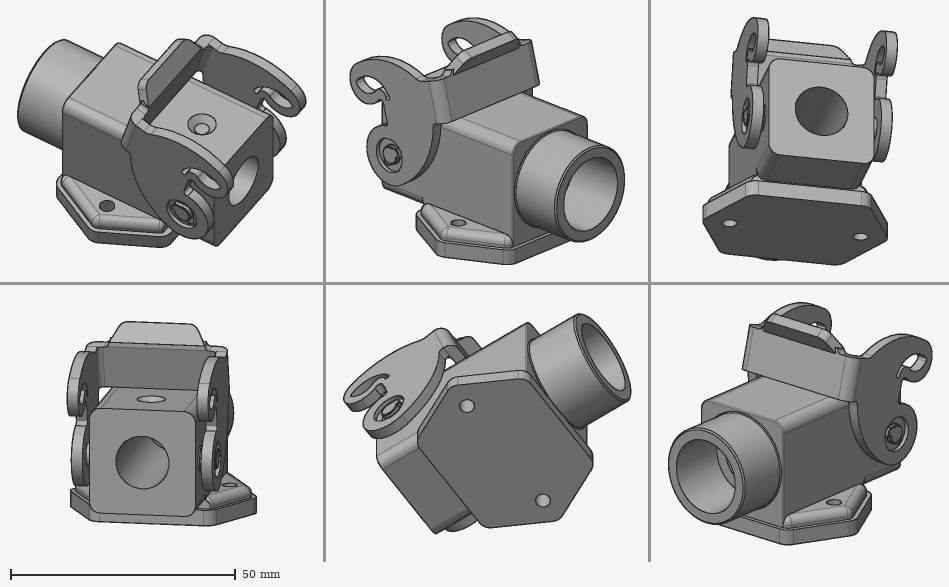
import cadquery as cq
import math

housing_left = -14.0
housing_right = 26.54
housing_width = 24.0
housing_top = 28.6
roof_edge_radius = 2.6
left_face_edge_radius = 0.25
column_right = 13.5
overhang_wall_right = 14.0
overhang_wall_bottom = 5.8
overhang_bottom = 4.64
overhang_edge_radius = 2.43

axis_height = 16.58
spigot_end = -26.54
spigot_radius = 11.23
spigot_end_chamfer = 0.35
spigot_root_width = 0.25
entry_bore_radius = 8.6
entry_bore_depth = 14.0
through_bore_radius = 6.0

screw_x = 15.47
countersink_radius = 3.17
countersink_floor_radius = 1.65

flange_half_length = 15.0
flange_apex_half_width = 21.38
flange_slope = math.radians(27.4)
flange_corner_radius = 3.0
flange_thickness = 3.57
pad_inset = 1.05
pad_corner_radius = 2.0
pad_edge_radius = 1.95
pad_top = 6.18
mounting_hole_y = 14.97
mounting_hole_radius = 1.67

sheet_thickness = 2.5
lever_half_width = 15.95
arm_inner_y = lever_half_width - sheet_thickness
cross_plate_foot = (5.74, 28.79)
cross_plate_tilt = math.radians(15)
cross_plate_length = 10.0
cross_plate_top = (
    cross_plate_foot[0] + cross_plate_length * math.sin(cross_plate_tilt),
    cross_plate_foot[1] + cross_plate_length * math.cos(cross_plate_tilt),
)
bend_outer_radius = 2.47
bend_inner_radius = 1.2

tab_tilt = math.radians(30)
tab_root = (8.36, 39.6)
tab_length = 5.01
tab_root_half_width = 10.85
tab_flare_radius = 1.1
tab_end_half_width = 8.3
tab_corner_radius = 2.4

pivot_x = 20.5
pivot_radius = 2.58
pivot_collar_radius = 2.95
pivot_collar_height = 0.35
arm_pivot_end_radius = 7.0
arm_recess_radius = 4.0
arm_recess_depth = 1.0
pin_head_radius = 2.1
pin_head_chamfer = 0.2
key_radius = 2.9
clearance_radius = 2.3
clearance_lobe_offset = (1.5, -2.05)
clearance_lobe_radius = 1.1
clearance_depth = 0.1


def hexagon(inset):
    """Elongated hexagon with apexes on the Y axis, moved inwards by inset."""
    half_length = flange_half_length - inset
    apex = flange_apex_half_width - inset / math.cos(flange_slope)
    shoulder = apex - half_length * math.tan(flange_slope)
    return [
        (half_length, -shoulder),
        (half_length, shoulder),
        (0, apex),
        (-half_length, shoulder),
        (-half_length, -shoulder),
        (0, -apex),
    ]


def box_between(x0, x1, width, z0, z1):
    """Box centred on Y = 0."""
    start = cq.Workplane("XY", origin=(x0, 0, z0))
    return start.box(x1 - x0, width, z1 - z0, centered=(False, True, False))


def cylinder_x(x0, x1, radius):
    """Cylinder along X on the cable axis."""
    return cq.Workplane("YZ", origin=(x0, 0, axis_height)).circle(radius).extrude(x1 - x0)


def make_flange():
    plate = cq.Workplane("XY").polyline(hexagon(0)).close().extrude(flange_thickness)
    plate = plate.edges("|Z").fillet(flange_corner_radius)
    pad = cq.Workplane("XY").polyline(hexagon(pad_inset)).close().extrude(pad_top)
    pad = pad.edges("|Z").fillet(pad_corner_radius)
    pad = pad.faces(">Z").edges().fillet(pad_edge_radius)
    pad = pad.intersect(box_between(housing_left, column_right, 2 * flange_apex_half_width, 0, pad_top))
    return plate.union(pad)


def make_housing():
    upper = box_between(housing_left, housing_right, housing_width, overhang_bottom, housing_top)
    upper = upper.edges("|X and >Z").fillet(roof_edge_radius)
    upper = upper.edges("|X and <Z").fillet(overhang_edge_radius)
    column_top = overhang_bottom + overhang_edge_radius
    column = box_between(housing_left, column_right, housing_width, 0, column_top)
    wall_stub = box_between(column_right, overhang_wall_right, housing_width, overhang_wall_bottom, column_top)
    body = upper.union(column).union(wall_stub)
    return body.faces("<X").edges("not <Z").fillet(left_face_edge_radius)


def add_spigot(body):
    spigot = cylinder_x(spigot_end, housing_left, spigot_radius)
    spigot = spigot.faces("<X").edges().chamfer(spigot_end_chamfer)
    root = cq.Solid.makeCone(
        spigot_radius,
        spigot_radius + spigot_root_width,
        spigot_root_width,
        pnt=cq.Vector(housing_left - spigot_root_width, 0, axis_height),
        dir=cq.Vector(1, 0, 0),
    )
    return body.union(spigot).union(root)


def cut_bores(body):
    entry = cylinder_x(spigot_end, spigot_end + entry_bore_depth, entry_bore_radius)
    through = cylinder_x(spigot_end, housing_right, through_bore_radius)
    depth = countersink_radius - countersink_floor_radius
    countersink = cq.Solid.makeCone(
        countersink_floor_radius,
        countersink_radius,
        depth,
        pnt=cq.Vector(screw_x, 0, housing_top - depth),
    )
    mounting_holes = (
        cq.Workplane("XY")
        .pushPoints([(0, mounting_hole_y), (0, -mounting_hole_y)])
        .circle(mounting_hole_radius)
        .extrude(pad_top)
    )
    return body.cut(entry).cut(through).cut(countersink).cut(mounting_holes)


def arm_outline(plane):
    """Side profile of a lever arm: pivot eye, curved back and hooked finger grip."""
    return (
        plane.moveTo(*cross_plate_top)
        .lineTo(10.5, 37.75)
        .threePointArc((11.3, 37.65), (12.2, 37.85))
        .threePointArc((19.7, 39.37), (30.4, 36.1))
        .threePointArc((32.72, 32.0), (28.0, 27.0))
        .threePointArc((26.2, 27.35), (24.2, 28.5))
        .threePointArc((23.1, 29.25), (22.2, 28.4))
        .lineTo(21.1, 24.5)
        .threePointArc((21.2, 23.8), (22.1, 23.4))
        .threePointArc((pivot_x + arm_pivot_end_radius, axis_height), (17.0, 10.4))
        .threePointArc((10.3, 16.6), (6.88, 27.55))
        .threePointArc((6.55, 28.5), cross_plate_foot)
        .close()
    )


def finger_slot(plane):
    """Comma-shaped opening that leaves the hooked spring finger."""
    return (
        plane.moveTo(20.5, 30.75)
        .threePointArc((26.0, 33.95), (30.7, 31.7))
        .threePointArc((30.8, 31.4), (30.6, 31.0))
        .threePointArc((27.8, 29.6), (24.8, 31.1))
        .threePointArc((23.3, 31.8), (21.6, 30.5))
        .threePointArc((20.9, 29.95), (20.5, 30.75))
        .close()
    )


def polar(radius, angle):
    """Point at the given radius and angle from the sketch origin."""
    return (radius * math.cos(angle), radius * math.sin(angle))


def pivot_plane(y):
    """Sketch plane on the pivot axis at the given Y; extrusions run towards -Y."""
    return cq.Workplane("XZ", origin=(pivot_x, y, axis_height))


def clearance_lobe(y):
    """Teardrop around the pin head: two circles joined by their outer tangents."""
    lobe_x, lobe_z = clearance_lobe_offset
    direction = math.atan2(lobe_z, lobe_x)
    spread = math.acos((clearance_radius - clearance_lobe_radius) / math.hypot(lobe_x, lobe_z))

    def lobe_point(angle):
        x, z = polar(clearance_lobe_radius, angle)
        return (lobe_x + x, lobe_z + z)

    return (
        pivot_plane(y)
        .moveTo(*polar(clearance_radius, direction + spread))
        .threePointArc(
            polar(clearance_radius, direction + math.pi),
            polar(clearance_radius, direction - spread),
        )
        .lineTo(*lobe_point(direction - spread))
        .threePointArc(lobe_point(direction), lobe_point(direction + spread))
        .close()
        .extrude(clearance_depth)
    )


def pin_head():
    """Keyed pin end standing in the arm recess, flush with the outer face of the arm."""
    key_reach = math.sqrt(key_radius**2 - pin_head_radius**2)
    key_mid = (math.pi + math.atan2(pin_head_radius, -key_reach)) / 2
    head_length = arm_recess_depth + clearance_depth
    head = (
        pivot_plane(lever_half_width)
        .moveTo(0, pin_head_radius)
        .lineTo(-key_reach, pin_head_radius)
        .threePointArc(polar(key_radius, key_mid), (-key_radius, 0))
        .lineTo(-pin_head_radius, 0)
        .threePointArc(polar(pin_head_radius, -math.pi / 4), (0, pin_head_radius))
        .close()
        .extrude(head_length)
    )
    return head.faces(">Y").edges().chamfer(pin_head_chamfer)


def make_arm():
    """Arm on the +Y side."""
    plane = cq.Workplane("XZ", origin=(0, lever_half_width, 0))
    arm = arm_outline(plane).extrude(sheet_thickness)
    slot = finger_slot(plane).extrude(sheet_thickness)
    recess = pivot_plane(lever_half_width).circle(arm_recess_radius).extrude(arm_recess_depth)
    lobe = clearance_lobe(lever_half_width - arm_recess_depth)
    return arm.cut(slot).cut(recess).cut(lobe).union(pin_head())


def make_pivot():
    """Pin with a collar between the housing wall and the +Y arm."""
    wall_y = housing_width / 2
    pin = pivot_plane(arm_inner_y).circle(pivot_radius).extrude(arm_inner_y - wall_y)
    collar = pivot_plane(wall_y + pivot_collar_height).circle(pivot_collar_radius).extrude(pivot_collar_height)
    return pin.union(collar)


def cross_plate_plane(inside_edge):
    """Plane across the tilted sheet at the given (X, Z) point; local X points to the inside."""
    tilt_cos = math.cos(cross_plate_tilt)
    tilt_sin = math.sin(cross_plate_tilt)
    x, z = inside_edge
    return cq.Plane(origin=(x, 0, z), xDir=(tilt_cos, 0, -tilt_sin), normal=(tilt_sin, 0, tilt_cos))


def make_cross_plate():
    plane = cross_plate_plane(cross_plate_foot)
    plate = (
        cq.Workplane(plane)
        .center(-sheet_thickness / 2, 0)
        .rect(sheet_thickness, 2 * lever_half_width)
        .extrude(cross_plate_length)
    )
    outer_face = cq.selectors.DirectionMinMaxSelector(plane.xDir * -1)
    plate = plate.faces(outer_face).edges("not |Y").fillet(bend_outer_radius)
    for side in (1, -1):
        plate = plate.union(bend_fillet(plane, side))
    return plate


def bend_fillet(plane, side):
    """Inside rounding between the cross plate and one arm."""
    return (
        cq.Workplane(plane)
        .moveTo(0, side * arm_inner_y)
        .lineTo(bend_inner_radius, side * arm_inner_y)
        .radiusArc((0, side * (arm_inner_y - bend_inner_radius)), -side * bend_inner_radius)
        .close()
        .extrude(cross_plate_length)
    )


def make_tab_root():
    """Short riser on the cross plate, flared into its upper edge by concave roundings."""
    plane = cross_plate_plane(cross_plate_top)
    riser = (
        cq.Workplane(plane)
        .center(-sheet_thickness / 2, 0)
        .rect(sheet_thickness, 2 * (tab_root_half_width + tab_flare_radius))
        .extrude(tab_flare_radius)
    )
    for side in (1, -1):
        corner_y = side * (tab_root_half_width + tab_flare_radius)
        corner = plane.toWorldCoords((-sheet_thickness, corner_y, tab_flare_radius))
        rounding = cq.Solid.makeCylinder(tab_flare_radius, sheet_thickness, pnt=corner, dir=plane.xDir)
        riser = riser.cut(rounding)
    overshoot_top = tab_root[1] + tab_flare_radius
    inside = box_between(tab_root[0], pivot_x, 2 * lever_half_width, housing_top, overshoot_top)
    return riser.cut(inside)


def make_tab():
    """Thumb tab leaning back from the riser."""
    root_x, root_z = tab_root
    lean_x = -math.sin(tab_tilt)
    lean_z = math.cos(tab_tilt)
    plane = cq.Plane(origin=(root_x, 0, root_z), xDir=(0, 1, 0), normal=(lean_z, 0, -lean_x))
    tab = (
        cq.Workplane(plane)
        .polyline([
            (tab_root_half_width, 0),
            (tab_end_half_width, tab_length),
            (-tab_end_half_width, tab_length),
            (-tab_root_half_width, 0),
        ])
        .close()
        .extrude(-sheet_thickness)
    )
    end_face = cq.selectors.DirectionMinMaxSelector(plane.yDir)
    return tab.faces(end_face).edges("not |Y").fillet(tab_corner_radius)


def make_lever():
    """Both arms with their pivot pins, the cross plate and the thumb tab."""
    arm = make_arm().union(make_pivot())
    lever = arm.union(arm.mirror("XZ")).union(make_cross_plate())
    return lever.union(make_tab_root()).union(make_tab())


housing = cut_bores(add_spigot(make_flange().union(make_housing())))
result = housing.union(make_lever())